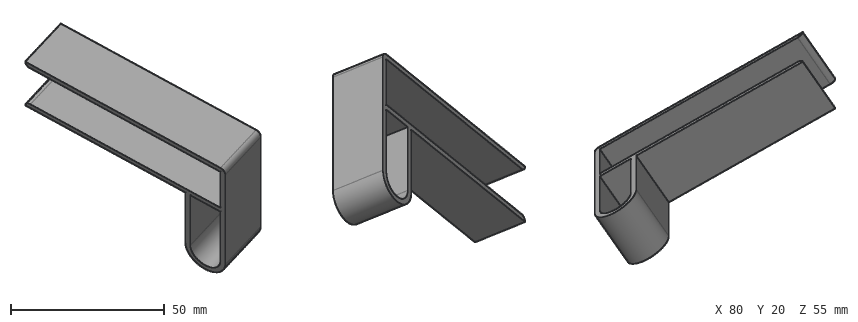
import cadquery as cq
import math

length = 80.0
width = 20.0
height = 55.0
wall = 2.0
arm_gap = 18.0
loop_width = 16.0
corner_radius = wall
tip_radius = wall

lower_arm_bottom = height - arm_gap - 2 * wall
loop_radius = loop_width / 2
loop_center_x = length - loop_radius


def box(x_min, x_max, z_min, z_max):
    """Full-width block spanning the given X and Z ranges."""
    return cq.Workplane("XY").box(
        x_max - x_min, width, z_max - z_min, centered=(False, True, False)
    ).translate((x_min, 0, z_min))


def arm(outer_z, inward):
    """Horizontal arm; inward is +1 or -1, the Z direction toward the opening."""
    inner_z = outer_z + inward * wall
    diagonal = tip_radius * math.sqrt(0.5)
    arc_middle = (tip_radius - diagonal, outer_z + inward * diagonal)
    return (
        cq.Workplane("XZ")
        .moveTo(0, outer_z)
        .threePointArc(arc_middle, (tip_radius, inner_z))
        .lineTo(length, inner_z)
        .lineTo(length, outer_z)
        .close()
        .extrude(width / 2, both=True)
    )


def loop_solid(inset):
    """U-shaped block hanging below the lower arm, shrunk by the inset."""
    radius = loop_radius - inset
    return (
        cq.Workplane("XZ")
        .moveTo(loop_center_x - radius, lower_arm_bottom)
        .lineTo(loop_center_x - radius, loop_radius)
        .threePointArc((loop_center_x, inset), (loop_center_x + radius, loop_radius))
        .lineTo(loop_center_x + radius, lower_arm_bottom)
        .close()
        .extrude(width / 2, both=True)
    )


upper_arm = arm(height, -1)
lower_arm = arm(lower_arm_bottom, 1)
back_wall = box(length - wall, length, lower_arm_bottom, height)
loop = loop_solid(0).cut(loop_solid(wall))

frame = upper_arm.union(lower_arm).union(back_wall).union(loop).clean()
result = frame.edges("|Y").edges(
    cq.selectors.NearestToPointSelector((length, 0, height))
).fillet(corner_radius)